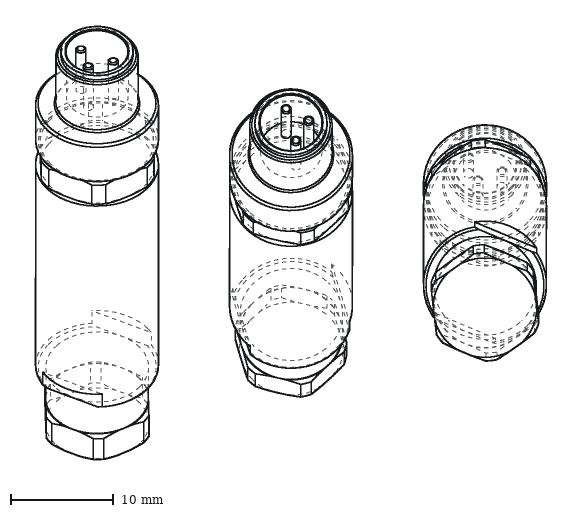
import cadquery as cq
import math

total_height = 49.6
lower_hex_top = 3.25
body_bottom = 7.5
body_top = 34.5
upper_hex_top = 37.55
ring_top = 42.6
sleeve_shoulder = 49.05

body_radius = 6.0
edge_chamfer = 0.25
neck_radius = 5.0

flat_height = 1.95

lower_hex_apothem = neck_radius
lower_hex_corner_radius = 5.5
upper_hex_apothem = 5.5
upper_hex_corner_radius = body_radius
hex_chamfer_width = 0.45
hex_chamfer_height = 0.25

sleeve_radius = 4.0
tip_radius = 3.5
sleeve_chamfer = 0.2
flare_radius = 4.15
flare_height = 0.25
socket_radius = 3.05
socket_depth = 5.95
socket_chamfer = 0.1

pin_radius = 0.5
pin_chamfer = 0.15
pin_top = 49.15
pin_circle_radius = 1.8
pin_angles = (0, 180, 270)


def cylinder(radius, bottom, top):
    return cq.Workplane("XY").workplane(offset=bottom).circle(radius).extrude(top - bottom)


def turned_hexagon(apothem, corner_radius, bottom, top):
    """Hexagon with two flats facing along Y, its corners turned round and chamfered at both ends."""
    height = top - bottom
    hexagon = (
        cq.Workplane("XY")
        .workplane(offset=bottom)
        .polygon(6, 2 * apothem / math.cos(math.pi / 6))
        .extrude(height)
    )
    end_radius = corner_radius - hex_chamfer_width
    envelope = (
        cq.Workplane("XZ")
        .moveTo(0, bottom)
        .lineTo(end_radius, bottom)
        .lineTo(corner_radius, bottom + hex_chamfer_height)
        .lineTo(corner_radius, top - hex_chamfer_height)
        .lineTo(end_radius, top)
        .lineTo(0, top)
        .close()
        .revolve(360, (0, 0, 0), (0, 1, 0))
    )
    return hexagon.intersect(envelope)


def body():
    """Long cylindrical housing with two opposite wrench flats at its lower end."""
    housing = cylinder(body_radius, body_bottom, body_top).faces("<Z").chamfer(edge_chamfer)
    for side in (-1, 1):
        flat_cut = (
            cq.Workplane("XY")
            .workplane(offset=body_bottom)
            .center(0, side * (neck_radius + body_radius / 2))
            .rect(2 * body_radius, body_radius)
            .extrude(flat_height)
        )
        housing = housing.cut(flat_cut)
    return housing


def sleeve():
    """Stepped tube above the ring, with a flared base and an open socket at its top."""
    tube = cylinder(sleeve_radius, ring_top, sleeve_shoulder).faces(">Z").chamfer(sleeve_chamfer)
    tip = cylinder(tip_radius, sleeve_shoulder, total_height)
    flare = (
        cq.Workplane("XY")
        .workplane(offset=ring_top)
        .circle(flare_radius)
        .workplane(offset=flare_height)
        .circle(sleeve_radius)
        .loft(ruled=True)
    )
    socket = cylinder(socket_radius, total_height - socket_depth, total_height)
    hollow = tube.union(tip).union(flare).cut(socket)
    smallest_circle = cq.selectors.RadiusNthSelector(0)
    return hollow.faces(">Z").edges(smallest_circle).chamfer(socket_chamfer)


def pins():
    """Contact pins standing on the socket floor."""
    floor = total_height - socket_depth
    pin = cylinder(pin_radius, floor, pin_top).faces(">Z").chamfer(pin_chamfer)
    pin = pin.translate((pin_circle_radius, 0, 0))
    group = cq.Workplane("XY")
    for angle in pin_angles:
        group = group.union(pin.rotate((0, 0, 0), (0, 0, 1), angle))
    return group


ring = cylinder(body_radius, upper_hex_top, ring_top).edges().chamfer(edge_chamfer)

result = (
    turned_hexagon(lower_hex_apothem, lower_hex_corner_radius, 0, lower_hex_top)
    .union(cylinder(neck_radius, lower_hex_top, body_bottom))
    .union(body())
    .union(turned_hexagon(upper_hex_apothem, upper_hex_corner_radius, body_top, upper_hex_top))
    .union(ring)
    .union(sleeve())
    .union(pins())
)